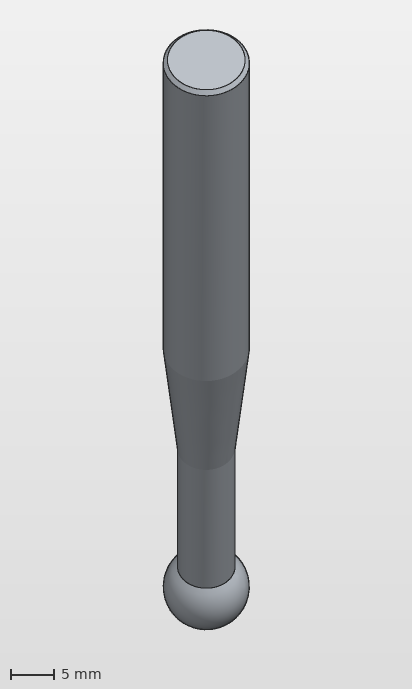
import cadquery as cq
import math

total_length = 100.0
shank_diameter = 10.0
shank_length = 52.0
shank_chamfer = 0.5
taper_length = 18.0
neck_diameter = 6.7
ball_diameter = 10.0

shank_radius = shank_diameter / 2
neck_radius = neck_diameter / 2
ball_radius = ball_diameter / 2

taper_top = total_length - shank_length
taper_bottom = taper_top - taper_length
ball_neck_height = ball_radius + math.sqrt(ball_radius**2 - neck_radius**2)

profile = (
    cq.Workplane("XZ")
    .moveTo(0, 0)
    .threePointArc((ball_radius, ball_radius), (neck_radius, ball_neck_height))
    .lineTo(neck_radius, taper_bottom)
    .lineTo(shank_radius, taper_top)
    .lineTo(shank_radius, total_length - shank_chamfer)
    .lineTo(shank_radius - shank_chamfer, total_length)
    .lineTo(0, total_length)
    .close()
)

result = profile.revolve(360, (0, 0, 0), (0, 1, 0))